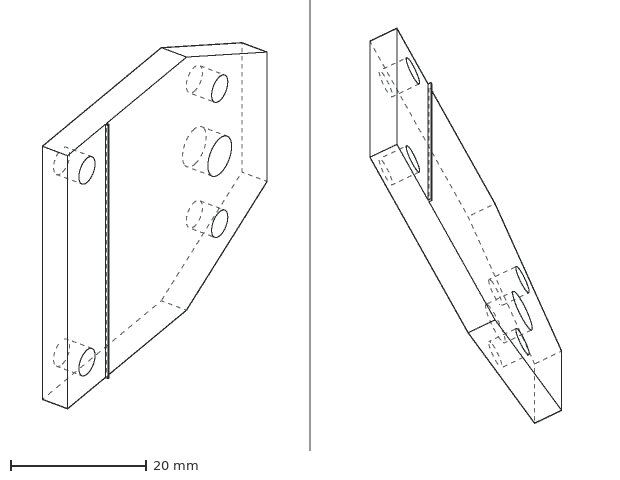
import cadquery as cq

length = 53.0
height = 45.0
thickness = 4.5
straight_length = 31.6
tapered_end_height = 23.0

small_hole_diameter = 4.3
large_hole_diameter = 6.3
wide_pair_y = 5.15
wide_pair_spacing = 34.05
narrow_pair_y = 40.4
narrow_pair_spacing = 24.0

rib_y = 10.2
rib_width = 0.3
rib_depth = 0.5


def make_plate():
    half_height = height / 2
    half_end = tapered_end_height / 2
    outline = [
        (0, -half_height),
        (straight_length, -half_height),
        (length, -half_end),
        (length, half_end),
        (straight_length, half_height),
        (0, half_height),
    ]
    return cq.Workplane("YZ").polyline(outline).close().extrude(thickness)


def make_holes(diameter, centers):
    return cq.Workplane("YZ").pushPoints(centers).circle(diameter / 2).extrude(thickness)


def make_rib():
    return (
        cq.Workplane("YZ", origin=(thickness, 0, 0))
        .center(rib_y, 0)
        .rect(rib_width, height)
        .extrude(rib_depth)
    )


small_hole_centers = [
    (y, side * spacing / 2)
    for y, spacing in [(wide_pair_y, wide_pair_spacing), (narrow_pair_y, narrow_pair_spacing)]
    for side in (-1, 1)
]
large_hole_centers = [(narrow_pair_y, 0)]

result = (
    make_plate()
    .cut(make_holes(small_hole_diameter, small_hole_centers))
    .cut(make_holes(large_hole_diameter, large_hole_centers))
    .union(make_rib())
)